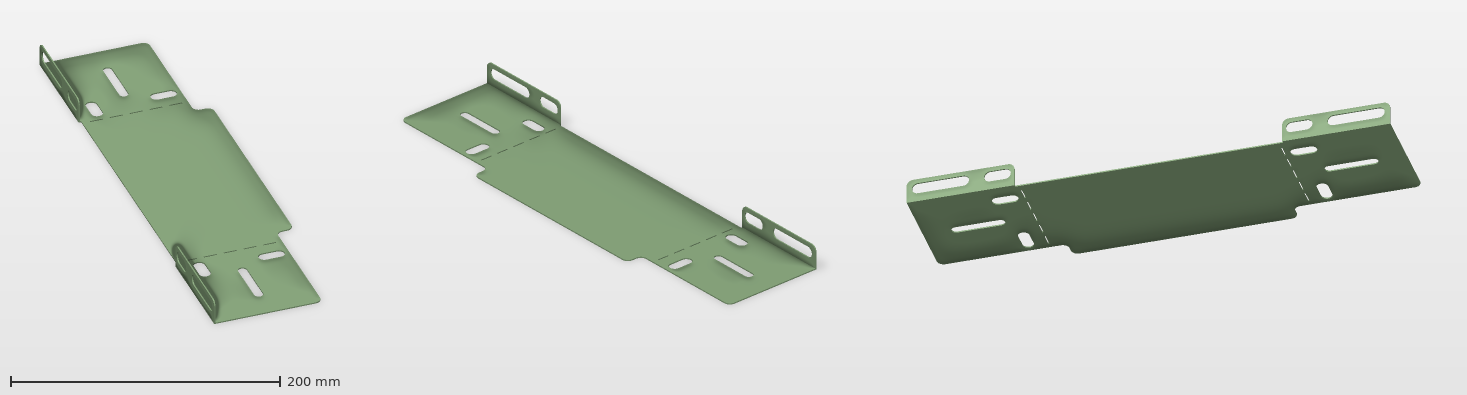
import cadquery as cq

length = 374.0
width = 100.0
height = 20.0
sheet = 1.0

wing_step = 14.2
center_length = 174.5
front_setback = 2.0
corner_radius = 5.2

flange_length = 83.5
flange_corner_radius = 5.0

slot_width = 9.0
slot_length = 20.5
narrow_slot_width = 7.0
narrow_slot_length = 41.5
flange_long_slot_length = 44.0

slot_column = 71.5
narrow_slot_column = 42.5
flange_long_slot_column = 26.0
flange_short_slot_column = 70.3
rear_slot_setback = 28.0
narrow_slot_setback = 55.5
front_slot_setback = 83.0
flange_slot_height = 11.5

slit_column = 86.5
slit_count = 5
slit_length = 10.0
slit_width = 1.0
slit_pitch = 15.7
slit_row_setback = 55.5

end_x = length / 2
rear_y = width / 2
front_y = -width / 2


def make_base_plate():
    plate_front = front_y + front_setback
    plate_rear = rear_y - wing_step
    half_center = center_length / 2
    plate = (
        cq.Workplane("XY")
        .moveTo(-end_x, plate_front)
        .lineTo(end_x, plate_front)
        .lineTo(end_x, plate_rear)
        .lineTo(half_center, plate_rear)
        .lineTo(half_center, rear_y)
        .lineTo(-half_center, rear_y)
        .lineTo(-half_center, plate_rear)
        .lineTo(-end_x, plate_rear)
        .close()
        .extrude(sheet)
    )
    rear_half = cq.selectors.BoxSelector(
        (-length, 0, -height), (length, width, height)
    )
    return plate.edges("|Z").edges(rear_half).fillet(corner_radius)


def make_flange():
    """Left flange: an upright strip joined to the plate by a foot behind it."""
    strip = (
        cq.Workplane("XY")
        .box(flange_length, sheet, height, centered=False)
        .edges("|Y and >Z")
        .fillet(flange_corner_radius)
    )
    foot = cq.Workplane("XY").box(flange_length, front_setback, sheet, centered=False)
    return strip.union(foot).translate((-end_x, front_y, 0))


def plate_slot(column, setback, slot_size, across, angle=0):
    """Slot cutter through the plate in the left wing."""
    return (
        cq.Workplane("XY")
        .center(column - end_x, rear_y - setback)
        .slot2D(slot_size, across, angle)
        .extrude(sheet)
    )


def flange_slot(column, slot_size):
    """Slot cutter through the left flange."""
    return (
        cq.Workplane("XZ", origin=(column - end_x, front_y, flange_slot_height))
        .slot2D(slot_size, slot_width)
        .extrude(-sheet)
    )


def make_slits():
    return (
        cq.Workplane("XY")
        .center(slit_column - end_x, rear_y - slit_row_setback)
        .rarray(3.7, slit_pitch, 1, slit_count)
        .rect(slit_width, slit_length)
        .extrude(sheet)
    )


left_cutters = [
    plate_slot(slot_column, rear_slot_setback, slot_length, slot_width, angle=90),
    plate_slot(narrow_slot_column, narrow_slot_setback, narrow_slot_length, narrow_slot_width),
    plate_slot(slot_column, front_slot_setback, slot_length, slot_width),
    flange_slot(flange_long_slot_column, flange_long_slot_length),
    flange_slot(flange_short_slot_column, slot_length),
    make_slits(),
]

left_flange = make_flange()
result = make_base_plate().union(left_flange).union(left_flange.mirror("YZ"))
for cutter in left_cutters:
    result = result.cut(cutter).cut(cutter.mirror("YZ"))